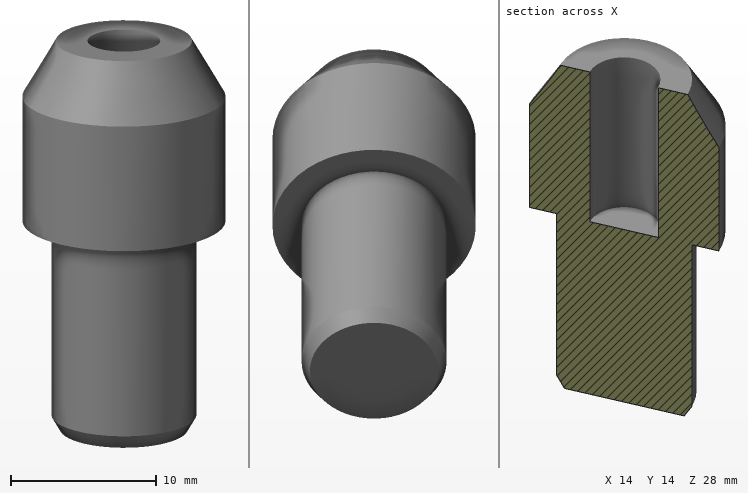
import cadquery as cq
import math

total_height = 28.0
head_diameter = 14.0
head_height = 13.0
shank_diameter = 10.0
bore_diameter = 5.0

taper_angle = 30.0
head_taper_height = 4.0
shank_taper_height = 1.0

taper_slope = math.tan(math.radians(taper_angle))
head_radius = head_diameter / 2
shank_radius = shank_diameter / 2
head_top_radius = head_radius - head_taper_height * taper_slope
shank_tip_radius = shank_radius - shank_taper_height * taper_slope
shoulder_z = total_height - head_height
bore_depth = head_height


def make_pin():
    """Revolve the stepped, tapered half-profile about the Z axis."""
    half_profile = [
        (0, 0),
        (shank_tip_radius, 0),
        (shank_radius, shank_taper_height),
        (shank_radius, shoulder_z),
        (head_radius, shoulder_z),
        (head_radius, total_height - head_taper_height),
        (head_top_radius, total_height),
        (0, total_height),
    ]
    return cq.Workplane("XZ").polyline(half_profile).close().revolve(360, (0, 0), (0, 1))


def cut_bore(body):
    """Cut the flat-bottomed blind bore into the top face."""
    return body.faces(">Z").workplane().hole(bore_diameter, bore_depth)


result = cut_bore(make_pin())